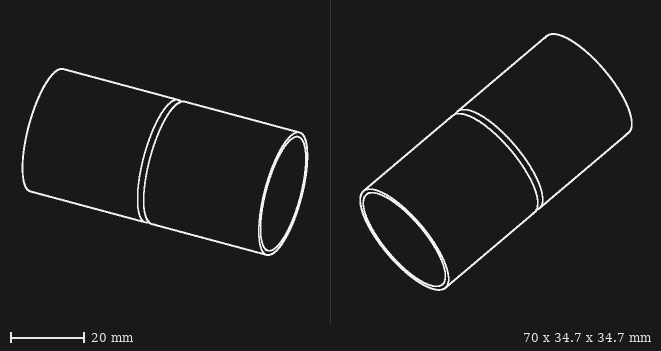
import cadquery as cq

length = 70.0
outer_diameter = 34.7
bore_diameter = 32.2
groove_width = 1.8
groove_depth = 0.6

outer_radius = outer_diameter / 2
bore_radius = bore_diameter / 2
half_length = length / 2
half_groove = groove_width / 2

section = (
    cq.Workplane("XY")
    .moveTo(-half_length, bore_radius)
    .lineTo(-half_groove, bore_radius)
    .threePointArc((0, bore_radius - groove_depth), (half_groove, bore_radius))
    .lineTo(half_length, bore_radius)
    .lineTo(half_length, outer_radius)
    .lineTo(half_groove, outer_radius)
    .threePointArc((0, outer_radius - groove_depth), (-half_groove, outer_radius))
    .lineTo(-half_length, outer_radius)
    .close()
)

result = section.revolve(360, (0, 0, 0), (1, 0, 0))